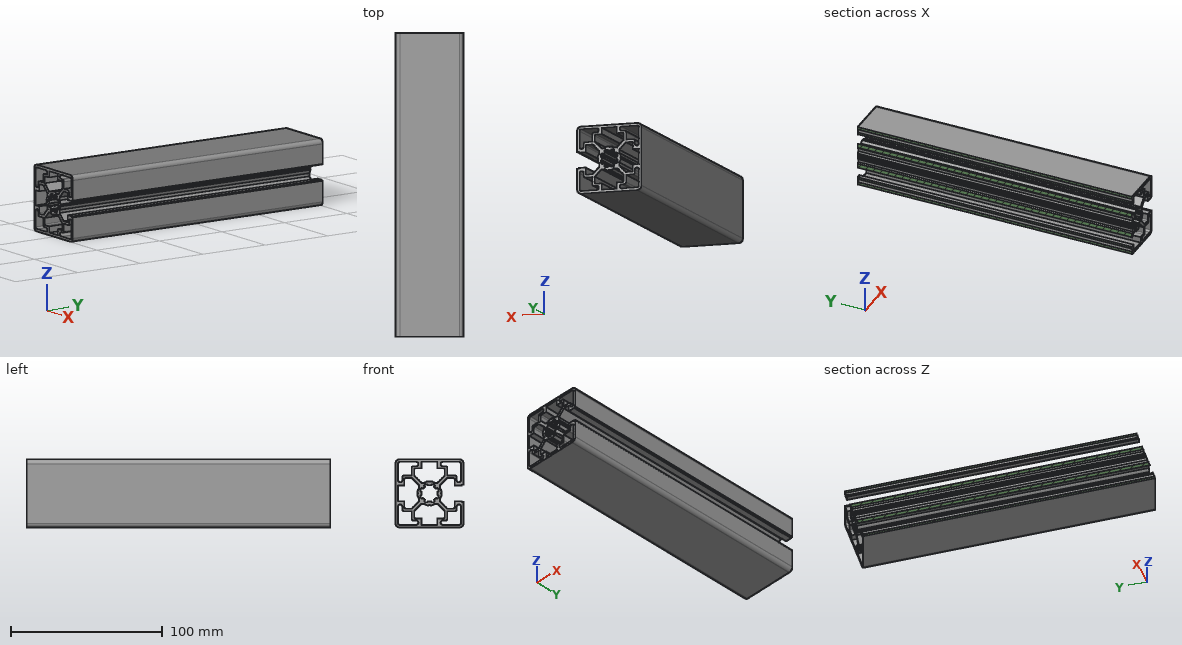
import cadquery as cq
import math

length = 200.0
side = 45.0
corner_radius = 3.0
wall = 1.8
half_side = side / 2
wall_inner = half_side - wall

slot_width = 10.2
slot_half_width = slot_width / 2
mouth_half_width = 5.5
mouth_depth = 1.2
lip_depth = 6.0
lip_inner = half_side - lip_depth
channel_half_width = 10.0
channel_fillet = 0.8

web_thickness = 2.5
core_half_width = 7.0
core_bulge_height = 1.2
core_bulge_half_width = 3.2
notch_half_width = 0.8
notch_depth = 0.5
web_offset = web_thickness / math.sqrt(2)

channel_skin = 1.8
lip_skin = 1.5
chamber_inner = channel_half_width + channel_skin
arm_inner = lip_inner + lip_skin
arm_end = 7.5
chamber_step_fillet = 1.2
chamber_corner_fillet = corner_radius - wall

rib_tip_radius = 5.2
axis_rib_tip_half_width = 1.0
axis_rib_base_half_width = 1.5
bore_flat = 5.8
bore_flat_end = 2.8
wide_rib_base_across = 3.5
wide_rib_base_out = 5.0
wide_rib_tip_angle = 56

quarter_turns = (0, 90, 180, 270)


def extrude_along_y(sketch):
    """Extrude an XZ outline over the whole bar length, centred on the origin."""
    return sketch.extrude(length / 2, both=True)


def turned(shape, angle):
    """Turn a shape about the bar's centre line."""
    return shape.rotate((0, 0, 0), (0, 1, 0), angle)


def make_bar():
    """Solid bar with rounded long edges."""
    bar = extrude_along_y(cq.Workplane("XZ").rect(side, side))
    return bar.edges("|Y").fillet(corner_radius)


def make_channel():
    """Hollow of the +X channel, from the core bulge out to the inside of the wall."""
    core_corner = core_half_width - web_offset
    web_outer_end = channel_half_width + web_offset
    bulge_top = core_half_width + core_bulge_height
    outline = (
        cq.Workplane("XZ")
        .moveTo(wall_inner, -slot_half_width)
        .lineTo(wall_inner, slot_half_width)
        .lineTo(lip_inner, slot_half_width)
        .lineTo(lip_inner, channel_half_width)
        .lineTo(web_outer_end, channel_half_width)
        .lineTo(core_half_width, core_corner)
        .lineTo(core_half_width, core_bulge_half_width)
        .threePointArc((bulge_top, 0), (core_half_width, -core_bulge_half_width))
        .lineTo(core_half_width, -core_corner)
        .lineTo(web_outer_end, -channel_half_width)
        .lineTo(lip_inner, -channel_half_width)
        .lineTo(lip_inner, -slot_half_width)
        .close()
    )
    channel = extrude_along_y(outline)
    for corner_z in (-channel_half_width, channel_half_width):
        corner = cq.NearestToPointSelector((lip_inner, 0, corner_z))
        channel = channel.edges("|Y").edges(corner).fillet(channel_fillet)
    notch_outline = [
        (bulge_top - notch_depth, 0),
        (bulge_top, notch_half_width),
        (bulge_top, -notch_half_width),
    ]
    notch = extrude_along_y(cq.Workplane("XZ").polyline(notch_outline).close())
    return channel.union(notch)


def make_mouth():
    """Opening of the +X channel, slightly wider at the outer face."""
    throat = cq.Workplane("XY").box(2 * lip_depth, length, 2 * slot_half_width)
    flare = cq.Workplane("XY").box(2 * mouth_depth, length, 2 * mouth_half_width)
    return throat.union(flare).translate((half_side, 0, 0))


def make_chamber():
    """L-shaped hollow in the +X +Z corner, with two round-ended arms."""
    end_radius = (wall_inner - arm_inner) / 2
    arm_middle = arm_inner + end_radius
    end_start = arm_end + end_radius
    outline = (
        cq.Workplane("XZ")
        .moveTo(wall_inner, wall_inner)
        .lineTo(end_start, wall_inner)
        .threePointArc((arm_end, arm_middle), (end_start, arm_inner))
        .lineTo(chamber_inner, arm_inner)
        .lineTo(chamber_inner, chamber_inner)
        .lineTo(arm_inner, chamber_inner)
        .lineTo(arm_inner, end_start)
        .threePointArc((arm_middle, arm_end), (wall_inner, end_start))
        .close()
    )
    chamber = extrude_along_y(outline)
    outer_corner = cq.NearestToPointSelector((wall_inner, 0, wall_inner))
    chamber = chamber.edges("|Y").edges(outer_corner).fillet(chamber_corner_fillet)
    for step_x, step_z in ((chamber_inner, arm_inner), (arm_inner, chamber_inner)):
        step = cq.NearestToPointSelector((step_x, 0, step_z))
        chamber = chamber.edges("|Y").edges(step).fillet(chamber_step_fillet)
    return chamber


def make_bore():
    """Ribbed bore along the centre line."""
    tip_angle = math.radians(wide_rib_tip_angle)
    half_quarter = [
        (axis_rib_tip_half_width, rib_tip_radius),
        (axis_rib_base_half_width, bore_flat),
        (bore_flat_end, bore_flat),
        (wide_rib_base_across, wide_rib_base_out),
        (rib_tip_radius * math.cos(tip_angle), rib_tip_radius * math.sin(tip_angle)),
    ]
    quarter = half_quarter + [(z, x) for x, z in reversed(half_quarter)]
    outline = []
    for angle in quarter_turns:
        cosine = math.cos(math.radians(angle))
        sine = math.sin(math.radians(angle))
        outline += [(x * cosine + z * sine, z * cosine - x * sine) for x, z in quarter]
    return extrude_along_y(cq.Workplane("XZ").polyline(outline).close())


result = make_bar()
for angle in quarter_turns:
    result = result.cut(turned(make_channel(), angle))
    result = result.cut(turned(make_chamber(), angle))
result = result.cut(make_mouth()).cut(make_bore())